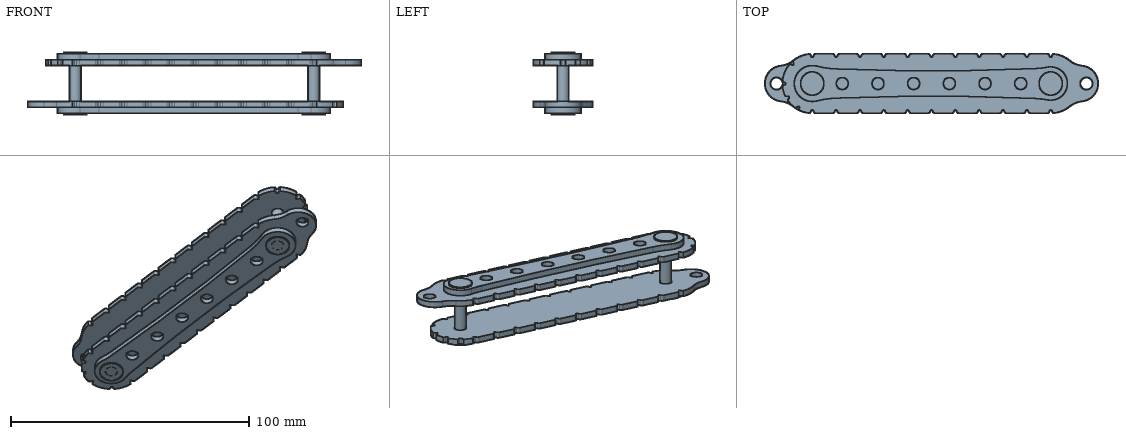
import cadquery as cq
import math

total_length = 140.0
pin_spacing = 100.0
pin_x = pin_spacing / 2
plate_gap = 15.0
sheet_thickness = 2.5

plate_width = 25.0
end_radius = plate_width / 2
lobe_radius = 7.5
lobe_blend_radius = 10.0
lobe_tip_offset = (total_length - pin_spacing) / 2
lobe_offset = lobe_tip_offset - lobe_radius
lobe_hole_offset = 15.0
hole_diameter = 5.0

notch_count = 11
notch_pitch = pin_spacing / (notch_count - 1)
end_notch_angles = (135, 180, 210, 240)
notch_root_radius = 0.5
notch_lip_radius = 1.1
notch_root_depth = 0.8
notch_overrun = 0.7

wide_end_radius = 7.5
narrow_end_radius = 7.0
waist_half_width = 5.3
waist_radius = 1000.6
cover_blend_radius = 37.8
cover_hole_count = 6
cover_hole_pitch = 15.0

pin_diameter = 4.9
head_diameter = 9.8
head_height = 0.5

plate_base = plate_gap / 2
cover_base = plate_base + sheet_thickness
head_base = cover_base + sheet_thickness


def point_on_circle(center, radius, toward):
    """Point of a circle that lies on the ray from its center through another point."""
    dx = toward[0] - center[0]
    dy = toward[1] - center[1]
    distance = math.hypot(dx, dy)
    return (center[0] + radius * dx / distance, center[1] + radius * dy / distance)


def left_intersection(center_a, radius_a, center_b, radius_b):
    """Crossing point of two circles, on the left when going from center a to center b."""
    dx = center_b[0] - center_a[0]
    dy = center_b[1] - center_a[1]
    distance = math.hypot(dx, dy)
    along = (distance**2 + radius_a**2 - radius_b**2) / (2 * distance)
    across = math.sqrt(radius_a**2 - along**2)
    return (
        center_a[0] + (along * dx - across * dy) / distance,
        center_a[1] + (along * dy + across * dx) / distance,
    )


def mirror_x(point):
    return (-point[0], point[1])


def mirror_y(point):
    return (point[0], -point[1])


def arc_middle(center, radius, start, end):
    """Middle point of the shorter arc between two points of a circle."""
    return point_on_circle(center, radius, ((start[0] + end[0]) / 2, (start[1] + end[1]) / 2))


def sheet_holes(places):
    """Cutters for round holes through one sheet that lies on Z = 0."""
    return cq.Workplane("XY").pushPoints(places).circle(hole_diameter / 2).extrude(sheet_thickness)


def notch_cutter():
    """Notch profile with rounded lips, root along -Y, edge of the plate on Y = 0."""
    reach = notch_root_radius + notch_lip_radius
    lip_x = math.sqrt(reach**2 - (notch_lip_radius - notch_root_depth) ** 2)
    root_center = (0, -notch_root_depth)
    lip_center = (lip_x, -notch_lip_radius)
    lip_start = (lip_x, 0)
    root_start = point_on_circle(root_center, notch_root_radius, lip_center)
    lip_middle = arc_middle(lip_center, notch_lip_radius, lip_start, root_start)
    root_bottom = (0, -notch_root_depth - notch_root_radius)
    return (
        cq.Workplane("XY")
        .moveTo(lip_x, notch_overrun)
        .lineTo(*lip_start)
        .threePointArc(lip_middle, root_start)
        .threePointArc(root_bottom, mirror_x(root_start))
        .threePointArc(mirror_x(lip_middle), mirror_x(lip_start))
        .lineTo(-lip_x, notch_overrun)
        .close()
        .extrude(sheet_thickness)
    )


def plate_blank():
    """Plate outline: round end at -X, stepped lobe end at +X."""
    end_center = (pin_x, 0)
    lobe_center = (pin_x + lobe_offset, 0)
    blend_center = left_intersection(
        end_center, end_radius + lobe_blend_radius, lobe_center, lobe_radius + lobe_blend_radius
    )
    end_top = (pin_x, end_radius)
    blend_start = point_on_circle(end_center, end_radius, blend_center)
    blend_end = point_on_circle(lobe_center, lobe_radius, blend_center)
    shoulder_middle = arc_middle(end_center, end_radius, end_top, blend_start)
    blend_middle = arc_middle(blend_center, lobe_blend_radius, blend_start, blend_end)
    lobe_tip = (pin_x + lobe_tip_offset, 0)
    return (
        cq.Workplane("XY")
        .moveTo(*mirror_x(end_top))
        .lineTo(*end_top)
        .threePointArc(shoulder_middle, blend_start)
        .threePointArc(blend_middle, blend_end)
        .threePointArc(lobe_tip, mirror_y(blend_end))
        .threePointArc(mirror_y(blend_middle), mirror_y(blend_start))
        .threePointArc(mirror_y(shoulder_middle), mirror_y(end_top))
        .lineTo(-pin_x, -end_radius)
        .threePointArc((-pin_x - end_radius, 0), mirror_x(end_top))
        .close()
        .extrude(sheet_thickness)
    )


def toothed_plate():
    """Plate with its underside on Z = 0 and its lobe toward +X."""
    plate = plate_blank()
    cutter = notch_cutter()
    for index in range(notch_count):
        x = -pin_x + index * notch_pitch
        upper_notch = cutter.translate((x, end_radius, 0))
        plate = plate.cut(upper_notch).cut(upper_notch.mirror("XZ"))
    for angle in end_notch_angles:
        end_notch = cutter.translate((0, end_radius, 0)).rotate((0, 0, 0), (0, 0, 1), angle - 90)
        plate = plate.cut(end_notch.translate((-pin_x, 0, 0)))
    hole_places = [(-pin_x, 0), (pin_x, 0), (pin_x + lobe_hole_offset, 0)]
    return plate.cut(sheet_holes(hole_places))


def cover_side(cover_end_radius):
    """Points of one upper quarter of the cover: tangent to the waist, blend middle, tangent to the end."""
    end_center = (pin_x, 0)
    waist_center = (0, waist_half_width + waist_radius)
    blend_center = left_intersection(
        end_center, cover_end_radius + cover_blend_radius, waist_center, waist_radius - cover_blend_radius
    )
    blend_end = point_on_circle(end_center, cover_end_radius, blend_center)
    blend_start = point_on_circle(waist_center, waist_radius, blend_center)
    blend_middle = arc_middle(blend_center, cover_blend_radius, blend_start, blend_end)
    return blend_start, blend_middle, blend_end


def cover():
    """Waisted cover with its underside on Z = 0 and its wide end toward -X."""
    wide_start, wide_middle, wide_end = [mirror_x(point) for point in cover_side(wide_end_radius)]
    narrow_start, narrow_middle, narrow_end = cover_side(narrow_end_radius)
    waist_top = (0, waist_half_width)
    body = (
        cq.Workplane("XY")
        .moveTo(*wide_end)
        .threePointArc(wide_middle, wide_start)
        .threePointArc(waist_top, narrow_start)
        .threePointArc(narrow_middle, narrow_end)
        .threePointArc((pin_x + narrow_end_radius, 0), mirror_y(narrow_end))
        .threePointArc(mirror_y(narrow_middle), mirror_y(narrow_start))
        .threePointArc(mirror_y(waist_top), mirror_y(wide_start))
        .threePointArc(mirror_y(wide_middle), mirror_y(wide_end))
        .threePointArc((-pin_x - wide_end_radius, 0), wide_end)
        .close()
        .extrude(sheet_thickness)
    )
    first_hole_x = -cover_hole_pitch * (cover_hole_count - 1) / 2
    hole_places = [(first_hole_x + index * cover_hole_pitch, 0) for index in range(cover_hole_count)]
    hole_places += [(-pin_x, 0), (pin_x, 0)]
    return body.cut(sheet_holes(hole_places))


def cylinder(diameter, x, base, height):
    """Upright cylinder with its axis at the given X."""
    return cq.Workplane("XY").center(x, 0).circle(diameter / 2).extrude(height).translate((0, 0, base))


def pin(x):
    """Headed pin that runs from its head on the upper cover down to the outside of the lower cover."""
    shank = cylinder(pin_diameter, x, -head_base, 2 * head_base)
    head = cylinder(head_diameter, x, head_base, head_height)
    return shank.union(head)


def cap(x):
    """Disc under the lower cover that closes the lower end of a pin."""
    return cylinder(head_diameter, x, -head_base - head_height, head_height)


upper_plate = toothed_plate().translate((0, 0, plate_base))
lower_plate = upper_plate.rotate((0, 0, 0), (0, 0, 1), 180).mirror("XY")
upper_cover = cover().translate((0, 0, cover_base))
lower_cover = upper_cover.mirror("XY")
plates = [upper_plate, lower_plate]
covers = [upper_cover, lower_cover]
pins = [pin(x) for x in (-pin_x, pin_x)]
caps = [cap(x) for x in (-pin_x, pin_x)]

result = cq.Compound.makeCompound([body.val() for body in plates + covers + pins + caps])